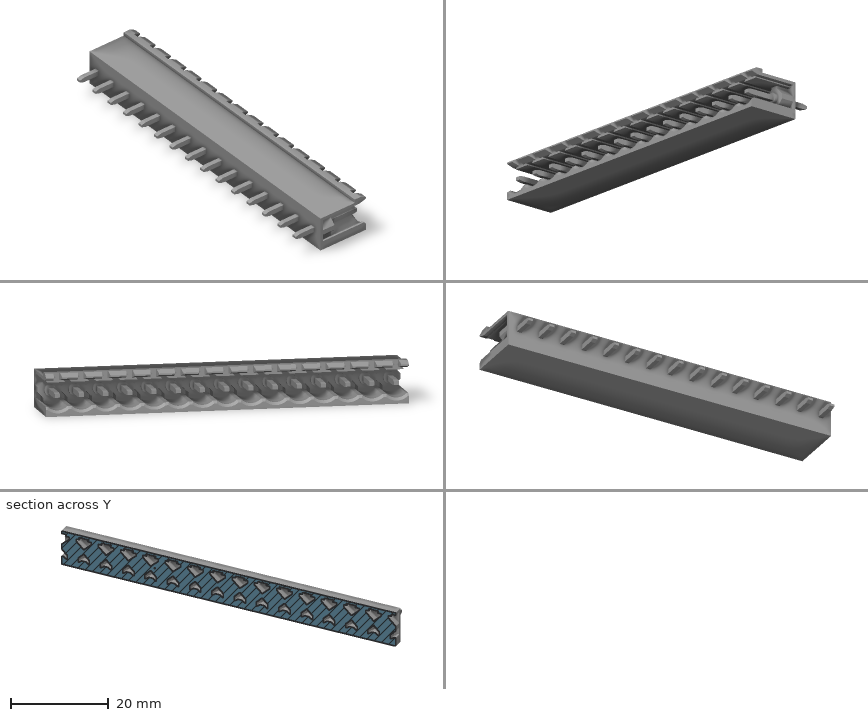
import cadquery as cq


length = 76.1
depth = 11.95
body_height = 8.0
front_wall = 0.6
floor_top = 2.05
floor_chamfer = 0.5
ceiling = 7.3

lip_height = 8.8
lip_flat_start = 9.0
lip_flat_end = 10.6
lip_underside_end = 10.3
nose_top = 8.15
nose_bottom = 7.8

pin_count = 15
first_pin_x = 2.5
pitch = (length - 2 * first_pin_x) / (pin_count - 1)
pin_x = [first_pin_x + i * pitch for i in range(pin_count)]
pin_z = 4.2
pin_width = 1.1
pin_height = 1.15
mating_tip_height = 0.75
tail_tip_height = 0.5
tip_length = 1.1
tail_length = 4.9
pin_end_y = 11.2
collar_radius = 1.2
collar_length = 0.7

boss_end_y = 3.65
boss_lower_neck_width = 2.6
boss_upper_neck_width = 1.7
boss_lower_neck_z = 2.4
boss_mid_bottom_z = 3.65
boss_mid_top_z = 4.8
boss_upper_neck_z = 6.4

rib_bottom = 6.85
rib_end_y = 10.2
rib_root_width = 2.9
rib_bottom_width = 3.65
notch_inner_width = 1.2
notch_outer_width = 1.75

groove_radius = 3.0


def extrude_along_x(points, x_start, x_length):
    """Extrude a (y, z) outline along +X."""
    return cq.Workplane("YZ").workplane(offset=x_start).polyline(points).close().extrude(x_length)


def extrude_along_y(points, y_start, y_end):
    """Extrude an (x, z) outline from y_start to y_end."""
    plane = cq.Workplane("XZ", origin=(0, y_start, 0))
    return plane.polyline(points).close().extrude(y_start - y_end)


def cylinder_along_y(x, radius, y_start, y_end):
    """Cylinder around a pin axis."""
    plane = cq.Workplane("XZ", origin=(x, y_start, pin_z))
    return plane.circle(radius).extrude(y_start - y_end)


def make_housing():
    """C-shaped profile with the latch lip on the roof."""
    outline = [
        (0, 0),
        (depth, 0),
        (depth, floor_top - floor_chamfer),
        (depth - floor_chamfer, floor_top),
        (front_wall, floor_top),
        (front_wall, ceiling),
        (lip_underside_end, ceiling),
        (depth, nose_bottom),
        (depth, nose_top),
        (lip_flat_end, lip_height),
        (lip_flat_start, lip_height),
        (lip_flat_start, body_height),
        (0, body_height),
    ]
    return extrude_along_x(outline, 0, length)


def make_groove(x):
    """Cutter for a floor groove that starts at the front wall, kept below the floor surface."""
    outer_radius = groove_radius + floor_chamfer
    half_section = [
        (0, front_wall),
        (groove_radius, front_wall),
        (groove_radius, depth - floor_chamfer),
        (outer_radius, depth),
        (0, depth),
    ]
    plane = cq.Workplane("XY", origin=(x, 0, pin_z))
    groove = plane.polyline(half_section).close().revolve(360, (0, 0), (0, 1))
    floor_strip = cq.Workplane("XY").box(pitch, depth, floor_top, centered=False)
    return groove.intersect(floor_strip.translate((x - pitch / 2, 0, 0)))


def make_notch(x):
    """Cutter through the lip that widens towards the free edge."""
    outline = [
        (x - notch_inner_width / 2, rib_end_y),
        (x + notch_inner_width / 2, rib_end_y),
        (x + notch_outer_width / 2, depth),
        (x - notch_outer_width / 2, depth),
    ]
    notch_height = lip_height - rib_bottom
    return cq.Workplane("XY").workplane(offset=rib_bottom).polyline(outline).close().extrude(notch_height)


def make_boss(x):
    """Boss from floor to roof, narrow at top and bottom, one pitch wide in the middle."""
    lower = boss_lower_neck_width / 2
    upper = boss_upper_neck_width / 2
    groove_bottom = pin_z - groove_radius
    left = max(x - pitch / 2, 0)
    right = min(x + pitch / 2, length)
    outline = [
        (x - lower, groove_bottom),
        (x + lower, groove_bottom),
        (x + lower, boss_lower_neck_z),
        (right, boss_mid_bottom_z),
        (right, boss_mid_top_z),
        (x + upper, boss_upper_neck_z),
        (x + upper, ceiling),
        (x - upper, ceiling),
        (x - upper, boss_upper_neck_z),
        (left, boss_mid_top_z),
        (left, boss_mid_bottom_z),
        (x - lower, boss_lower_neck_z),
    ]
    return extrude_along_y(outline, front_wall, boss_end_y)


def make_rib(x):
    """Dovetail rib, wider at its lower face."""
    outline = [
        (x - rib_root_width / 2, ceiling),
        (x + rib_root_width / 2, ceiling),
        (x + rib_bottom_width / 2, rib_bottom),
        (x - rib_bottom_width / 2, rib_bottom),
    ]
    return extrude_along_y(outline, front_wall, rib_end_y)


def make_pin(x):
    """Rectangular pin, tapered in height at both tips, with a round collar on the boss."""
    half = pin_height / 2
    mating_tip = mating_tip_height / 2
    tail_tip = tail_tip_height / 2
    outline = [
        (-tail_length, pin_z - tail_tip),
        (-tail_length + tip_length, pin_z - half),
        (pin_end_y - tip_length, pin_z - half),
        (pin_end_y, pin_z - mating_tip),
        (pin_end_y, pin_z + mating_tip),
        (pin_end_y - tip_length, pin_z + half),
        (-tail_length + tip_length, pin_z + half),
        (-tail_length, pin_z + tail_tip),
    ]
    pin = extrude_along_x(outline, x - pin_width / 2, pin_width)
    collar = cylinder_along_y(x, collar_radius, boss_end_y, boss_end_y + collar_length)
    return pin.union(collar)


result = make_housing()
for x in pin_x:
    result = result.cut(make_groove(x)).cut(make_notch(x))
for x in pin_x:
    result = result.union(make_boss(x)).union(make_rib(x)).union(make_pin(x))